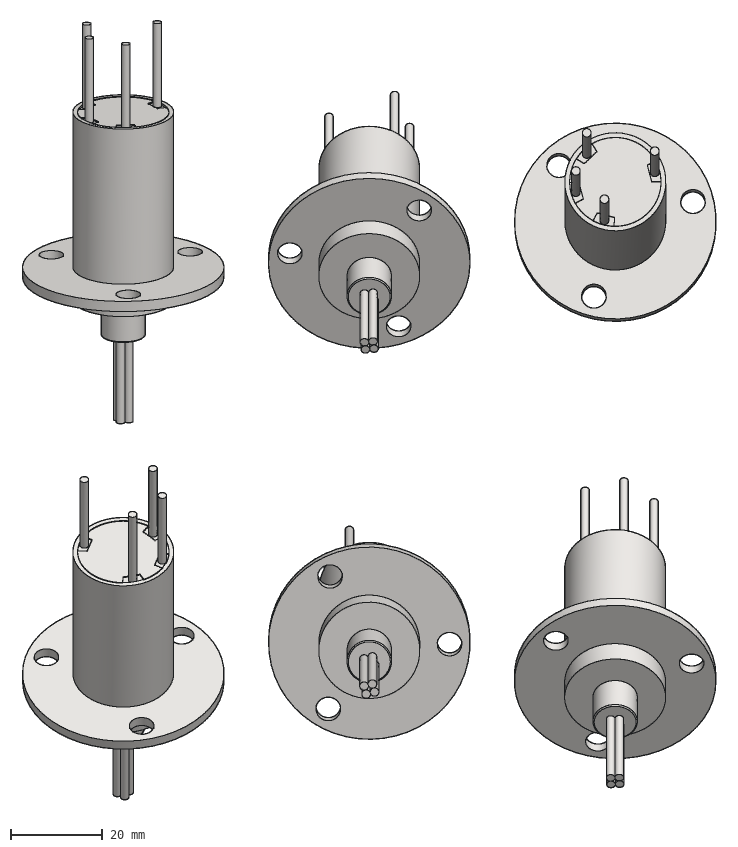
import cadquery as cq
import math

TOTAL_HEIGHT = 90.7
BODY_TOP = 71.65
FLANGE_TOP = 35.6
FLANGE_BOTTOM = 33.3
BODY_BOTTOM = 28.1
NECK_BOTTOM = 19.8

FLANGE_DIAMETER = 44.0
BODY_DIAMETER = 22.0
NECK_DIAMETER = 9.7
NECK_CHAMFER = 0.3
CAP_DIAMETER = 19.95
CAP_RECESS = 0.2

HOLE_COUNT = 3
HOLE_DIAMETER = 5.35
HOLE_CIRCLE_RADIUS = 17.5

WIRE_DIAMETER = 1.9
UPPER_WIRE_RADIUS = 8.9
UPPER_WIRE_ANGLES = (60, 180, 240, 300)
POCKET_HALF_ANGLE = 14
POCKET_INNER_DISTANCE = 7.7
POCKET_DEPTH = 0.3
LOWER_WIRE_COUNT = 4
BUNDLE_OVERLAP = 0.02
LOWER_WIRE_RADIUS = (WIRE_DIAMETER - BUNDLE_OVERLAP) / math.sqrt(2)
WIRE_EMBED = 0.9

CAP_TOP = BODY_TOP - CAP_RECESS
POCKET_FLOOR = CAP_TOP - POCKET_DEPTH


def cylinder(diameter, bottom, top):
    return cq.Workplane("XY").workplane(offset=bottom).circle(diameter / 2).extrude(top - bottom)


def polar_cylinder(diameter, bottom, top, radius, angle):
    """Vertical cylinder placed at a radius and an angle in degrees from +X."""
    direction = math.radians(angle)
    offset = (radius * math.cos(direction), radius * math.sin(direction), 0)
    return cylinder(diameter, bottom, top).translate(offset)


def make_housing():
    neck = cylinder(NECK_DIAMETER, NECK_BOTTOM, BODY_BOTTOM).faces("<Z").chamfer(NECK_CHAMFER)
    housing = cylinder(BODY_DIAMETER, BODY_BOTTOM, BODY_TOP).union(neck)
    housing = housing.union(cylinder(FLANGE_DIAMETER, FLANGE_BOTTOM, FLANGE_TOP))
    return housing.cut(cylinder(CAP_DIAMETER, CAP_TOP, BODY_TOP))


def cut_mounting_holes(part):
    for index in range(HOLE_COUNT):
        angle = 180 + index * 360 / HOLE_COUNT
        hole = polar_cylinder(HOLE_DIAMETER, FLANGE_BOTTOM, FLANGE_TOP, HOLE_CIRCLE_RADIUS, angle)
        part = part.cut(hole)
    return part


def make_pocket(angle):
    """Pocket with a straight inner wall and radial sides that ends at the rim of the cap."""
    flare = math.tan(math.radians(POCKET_HALF_ANGLE))
    inner = POCKET_INNER_DISTANCE
    outer = CAP_DIAMETER / 2
    corners = [
        (inner, -inner * flare),
        (outer, -outer * flare),
        (outer, outer * flare),
        (inner, inner * flare),
    ]
    block = (
        cq.Workplane("XY")
        .workplane(offset=POCKET_FLOOR)
        .polyline(corners)
        .close()
        .extrude(POCKET_DEPTH)
        .rotate((0, 0, 0), (0, 0, 1), angle)
    )
    return block.intersect(cylinder(CAP_DIAMETER, POCKET_FLOOR, CAP_TOP))


def add_upper_wires(part):
    for angle in UPPER_WIRE_ANGLES:
        part = part.cut(make_pocket(angle))
        bottom = POCKET_FLOOR - WIRE_EMBED
        wire = polar_cylinder(WIRE_DIAMETER, bottom, TOTAL_HEIGHT, UPPER_WIRE_RADIUS, angle)
        part = part.union(wire)
    return part


def add_lower_wires(part):
    for index in range(LOWER_WIRE_COUNT):
        angle = index * 360 / LOWER_WIRE_COUNT
        top = NECK_BOTTOM + WIRE_EMBED
        part = part.union(polar_cylinder(WIRE_DIAMETER, 0, top, LOWER_WIRE_RADIUS, angle))
    return part


result = add_lower_wires(add_upper_wires(cut_mounting_holes(make_housing())))